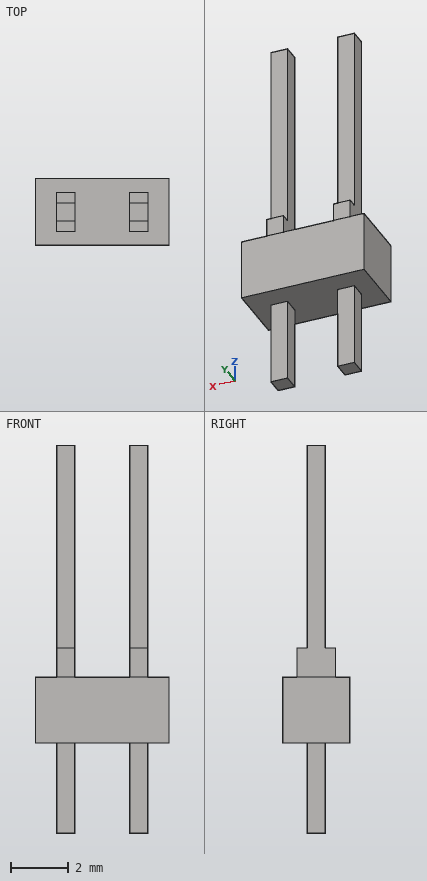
import cadquery as cq

total_height = 13.54
body_length = 4.67
body_width = 2.34
body_height = 2.3

pin_size = 0.64
pin_pitch = 2.55
tail_length = 3.15
shoulder_width = 1.35
shoulder_height = 1.02

body_top = tail_length + body_height


def block(length, width, height, x, base_z):
    """Box centred on (x, 0) and rising from base_z."""
    return (
        cq.Workplane("XY", origin=(x, 0, base_z))
        .box(length, width, height, centered=(True, True, False))
    )


result = block(body_length, body_width, body_height, 0, tail_length)

for pin_x in (-pin_pitch / 2, pin_pitch / 2):
    pin = block(pin_size, pin_size, total_height, pin_x, 0)
    shoulder = block(pin_size, shoulder_width, shoulder_height, pin_x, body_top)
    result = result.union(pin).union(shoulder)